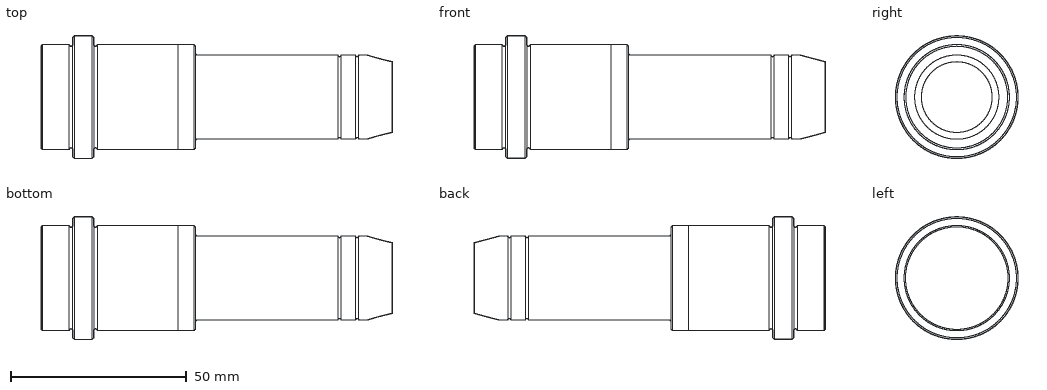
import cadquery as cq
import math

total_length = 100.0

flange_radius = 35.0 / 2
flange_start = 9.0
flange_end = 15.0
flange_chamfer = 0.5
head_radius = 30.0 / 2
head_chamfer = 0.4

relief_width = 1.0
relief_depth = relief_width / 2

body_radius = head_radius
body_end = 44.0
lead_in_length = 5.0
lead_in_clearance = 0.01
lead_in_radius = body_radius - lead_in_clearance
body_chamfer = 0.5

shank_radius = 24.0 / 2
root_fillet = 0.4
nose_length = 7.2
nose_angle = 15.0
nose_radius = shank_radius - nose_length * math.tan(math.radians(nose_angle))
groove_starts = (84.5, 89.5)
groove_width = 0.9
groove_depth = groove_width / 2


def add_groove(outline, start, width, radius, depth):
    """Dip the outline inward along an arc that begins and ends at the given radius."""
    return outline.threePointArc((start + width / 2, radius - depth), (start + width, radius))


def add_head(outline):
    relief_start = flange_start - relief_width
    outline = (
        outline.lineTo(0, head_radius - head_chamfer)
        .lineTo(head_chamfer, head_radius)
        .lineTo(relief_start, head_radius)
    )
    return add_groove(outline, relief_start, relief_width, head_radius, relief_depth)


def add_flange(outline):
    return (
        outline.lineTo(flange_start, flange_radius - flange_chamfer)
        .lineTo(flange_start + flange_chamfer, flange_radius)
        .lineTo(flange_end - flange_chamfer, flange_radius)
        .lineTo(flange_end, flange_radius - flange_chamfer)
        .lineTo(flange_end, body_radius)
    )


def add_body(outline):
    outline = add_groove(outline, flange_end, relief_width, body_radius, relief_depth)
    lead_in_start = body_end - lead_in_length
    return (
        outline.lineTo(lead_in_start, body_radius)
        .lineTo(lead_in_start, lead_in_radius)
        .lineTo(body_end - body_chamfer, lead_in_radius)
        .lineTo(body_end, lead_in_radius - body_chamfer)
    )


def add_shank(outline):
    outline = outline.lineTo(body_end, shank_radius + root_fillet).radiusArc(
        (body_end + root_fillet, shank_radius), -root_fillet
    )
    for groove_start in groove_starts:
        outline = outline.lineTo(groove_start, shank_radius)
        outline = add_groove(outline, groove_start, groove_width, shank_radius, groove_depth)
    return (
        outline.lineTo(total_length - nose_length, shank_radius)
        .lineTo(total_length, nose_radius)
        .lineTo(total_length, 0)
    )


half_outline = cq.Workplane("XZ").moveTo(0, 0)
for add_section in (add_head, add_flange, add_body, add_shank):
    half_outline = add_section(half_outline)

result = half_outline.close().revolve(360, (0, 0, 0), (1, 0, 0))